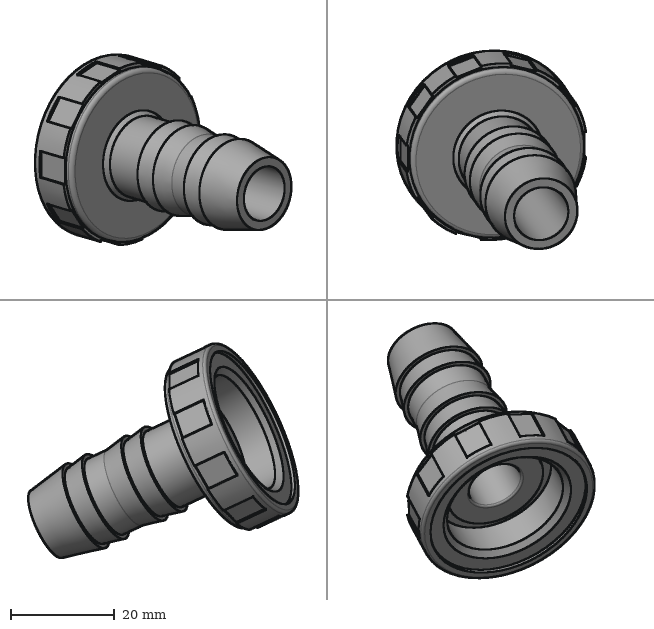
import cadquery as cq
import math


cap_diameter = 36.0
cap_length = 9.95
grip_length = 8.3
shoulder_diameter = 34.5
front_round = 0.6
back_round = 0.9
recess_diameter = 32.4
recess_depth = 0.8
socket_diameter = 24.0
socket_floor = 8.3
socket_chamfer = 1.2

pocket_count = 10
pocket_width = 5.3
pocket_start = 1.65
pocket_floor_radius = 17.5

overall_length = 46.0
tail_diameter = 16.2
seat_diameter = 19.8
seat_end = 11.0
head_face = 7.15
bore_diameter = 10.75
bore_round = 0.4
barb_diameter = 18.0
tip_diameter = 14.4

step_count = 8
barb_steps = (2, 3, 5)
tip_step = 6
step_length = (overall_length - seat_end) / step_count
barb_starts = [seat_end + step * step_length for step in barb_steps]
tip_start = seat_end + tip_step * step_length

seat_radius = seat_diameter / 2
tail_radius = tail_diameter / 2
seat_length = seat_end - socket_floor
sphere_centre = (seat_end + socket_floor) / 2 - (seat_radius**2 - tail_radius**2) / (2 * seat_length)
sphere_radius = math.hypot(seat_end - sphere_centre, tail_radius)


def seat_radius_at(x):
    return math.sqrt(sphere_radius**2 - (x - sphere_centre) ** 2)


def turn(profile):
    """Revolve a closed (x, radius) profile about the X axis."""
    return profile.close().revolve(360, (0, 0, 0), (1, 0, 0))


def cylinder(diameter, start, end):
    return cq.Workplane("YZ").workplane(offset=start).circle(diameter / 2).extrude(end - start)


def make_spherical_seat():
    middle = (socket_floor + seat_end) / 2
    profile = (
        cq.Workplane("XY")
        .moveTo(socket_floor, 0)
        .lineTo(socket_floor, seat_radius)
        .threePointArc((middle, seat_radius_at(middle)), (seat_end, tail_radius))
        .lineTo(seat_end, 0)
    )
    return turn(profile)


def make_barb(start, end, end_diameter):
    """A tapered ring, largest at its start."""
    profile = (
        cq.Workplane("XY")
        .moveTo(start, 0)
        .lineTo(start, barb_diameter / 2)
        .lineTo(end, end_diameter / 2)
        .lineTo(end, 0)
    )
    return turn(profile)


def make_pocket(angle):
    depth = cap_diameter / 2 - pocket_floor_radius
    length = grip_length - pocket_start
    pocket = cq.Workplane("XY").box(length, depth, pocket_width, centered=(False, False, True))
    pocket = pocket.translate((pocket_start, pocket_floor_radius, 0))
    return pocket.rotate((0, 0, 0), (1, 0, 0), angle)


def make_cap():
    cap = cylinder(cap_diameter, 0, grip_length).faces("<X").edges().fillet(front_round)
    shoulder = cylinder(shoulder_diameter, 0, cap_length).faces(">X").edges().fillet(back_round)
    cap = cap.union(shoulder)

    for index in range(pocket_count):
        cap = cap.cut(make_pocket(index * 360 / pocket_count))

    socket = cylinder(socket_diameter, recess_depth, socket_floor)
    mouth_profile = (
        cq.Workplane("XY")
        .moveTo(recess_depth, 0)
        .lineTo(recess_depth, socket_diameter / 2 + socket_chamfer)
        .lineTo(recess_depth + socket_chamfer, socket_diameter / 2)
        .lineTo(recess_depth + socket_chamfer, 0)
    )
    cap = cap.cut(cylinder(recess_diameter, 0, recess_depth))
    cap = cap.cut(socket).cut(turn(mouth_profile))
    return cap.cut(make_spherical_seat())


def make_hose_tail():
    tail = cylinder(seat_diameter, head_face, socket_floor).union(make_spherical_seat())
    tail = tail.union(cylinder(tail_diameter, seat_end, tip_start))
    for start in barb_starts:
        tail = tail.union(make_barb(start, start + step_length, tail_diameter))
    tail = tail.union(make_barb(tip_start, overall_length, tip_diameter))
    tail = tail.cut(cylinder(bore_diameter, head_face, overall_length))
    bore_mouth = tail.faces("<X").edges(cq.selectors.RadiusNthSelector(0))
    return bore_mouth.fillet(bore_round)


cap = make_cap()
hose_tail = make_hose_tail()

result = cq.Compound.makeCompound([*cap.solids().vals(), *hose_tail.solids().vals()])